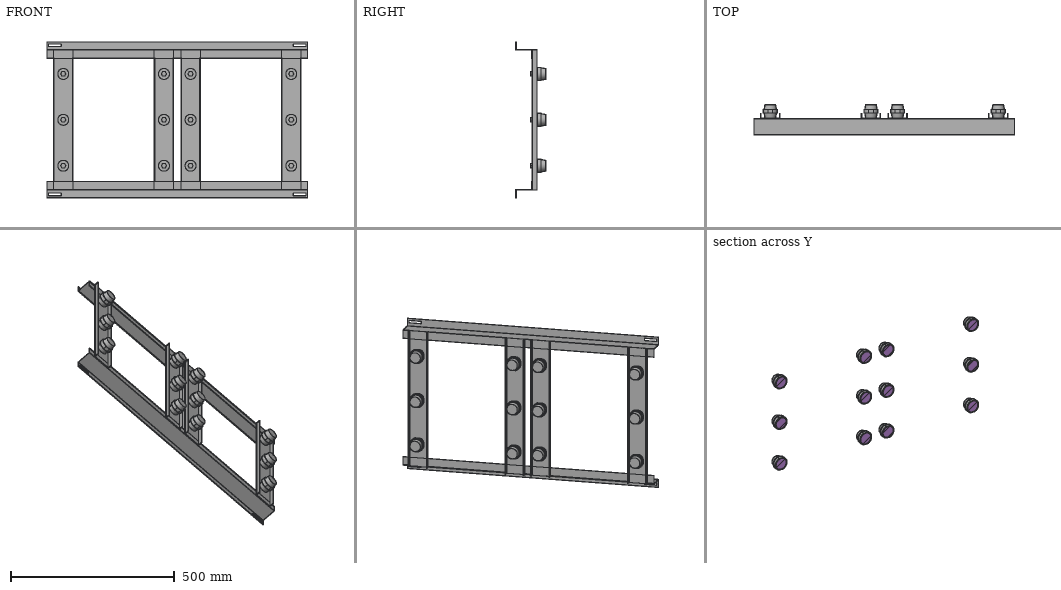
import cadquery as cq

frame_length = 796.0
frame_height = 476.0
frame_depth = 92.0

sheet = 2.0
rail_depth = 50.0
outer_flange = 25.5
inner_flange = 27.0
web_outer_z = frame_height / 2 - outer_flange + sheet

slot_length = 38.0
slot_width = 7.0
slot_end_gap = 5.5
slot_edge_distance = 10.0

channel_width = 60.0
channel_depth = 15.0
outer_channel_x = 348.0
inner_channel_x = 40.5
channel_positions = (-outer_channel_x, -inner_channel_x, inner_channel_x, outer_channel_x)

mount_pitch = 140.0
mount_heights = (-mount_pitch, 0, mount_pitch)
mount_end_radius = 17.0
mount_middle_radius = 19.0
mount_lip = 2.0
collar_diameter = 43.0
collar_length = 12.0
collar_across_flats = 40.5
bolt_head_corners = 16.0
bolt_head_height = 5.0


def make_upper_rail():
    """Z-section with its outer flange at y = 0 and its inner flange turned down behind."""
    top = frame_height / 2
    web_under_z = web_outer_z - sheet
    inner_edge_z = web_outer_z - inner_flange
    section = [
        (0, top),
        (sheet, top),
        (sheet, web_outer_z),
        (rail_depth, web_outer_z),
        (rail_depth, inner_edge_z),
        (rail_depth - sheet, inner_edge_z),
        (rail_depth - sheet, web_under_z),
        (0, web_under_z),
    ]
    rail = cq.Workplane("YZ").polyline(section).close().extrude(frame_length / 2, both=True)

    slot_x = frame_length / 2 - slot_end_gap - slot_length / 2
    slot_z = top - slot_edge_distance
    slots = (
        cq.Workplane("XZ")
        .pushPoints([(-slot_x, slot_z), (slot_x, slot_z)])
        .rect(slot_length, slot_width)
        .extrude(sheet, both=True)
    )
    return rail.cut(slots)


def make_channel():
    """Upright channel standing on the rails, open toward +Y."""
    height = 2 * web_outer_z
    align = (True, False, True)
    outside = cq.Workplane("XY").box(channel_width, channel_depth, height, centered=align)
    inside = (
        cq.Workplane("XY")
        .box(channel_width - 2 * sheet, channel_depth, height, centered=align)
        .translate((0, sheet, 0))
    )
    return outside.cut(inside).translate((0, rail_depth, 0))


def make_mount():
    """Barrel with a straight lip at each end, a flatted collar at the middle and a bolt head."""
    base_y = rail_depth + sheet
    middle_y = (base_y + frame_depth) / 2
    barrel = (
        cq.Workplane("XY")
        .moveTo(0, base_y)
        .lineTo(mount_end_radius, base_y)
        .lineTo(mount_end_radius, base_y + mount_lip)
        .threePointArc((mount_middle_radius, middle_y), (mount_end_radius, frame_depth - mount_lip))
        .lineTo(mount_end_radius, frame_depth)
        .lineTo(0, frame_depth)
        .close()
        .revolve(360, (0, 0, 0), (0, 1, 0))
    )
    collar = (
        cq.Workplane("XZ", origin=(0, middle_y, 0))
        .circle(collar_diameter / 2)
        .extrude(collar_length / 2, both=True)
    )
    flats_envelope = cq.Workplane("XY", origin=(0, middle_y, 0)).box(
        collar_diameter, collar_length, collar_across_flats
    )
    collar = collar.intersect(flats_envelope)
    bolt_head = (
        cq.Workplane("XZ", origin=(0, rail_depth, 0))
        .polygon(6, bolt_head_corners)
        .extrude(bolt_head_height)
    )
    return barrel.union(collar).union(bolt_head)


upright = make_channel()
mount = make_mount()
for mount_z in mount_heights:
    upright = upright.union(mount.translate((0, 0, mount_z)))

upper_rail = make_upper_rail()
result = upper_rail.union(upper_rail.mirror("XY"))
for channel_x in channel_positions:
    result = result.union(upright.translate((channel_x, 0, 0)))